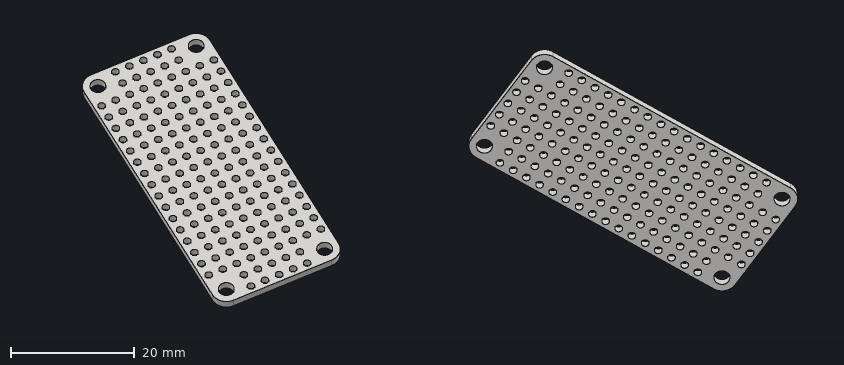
import cadquery as cq

length = 50.8
width = 22.85
thickness = 1.6
corner_radius = 2.55

mount_diameter = 2.55
mount_spacing_x = length - 2 * corner_radius
mount_spacing_y = width - 2 * corner_radius

pitch = 2.55
grid_diameter = 1.2
columns = 20
rows = 9
corner_columns = 2
corner_rows = 2


def grid_points():
    """Grid positions, skipping the block around each mounting hole."""
    points = []
    for column in range(columns):
        for row in range(rows):
            near_end = min(column, columns - 1 - column) < corner_columns
            near_side = min(row, rows - 1 - row) < corner_rows
            if near_end and near_side:
                continue
            x = (column - (columns - 1) / 2) * pitch
            y = (row - (rows - 1) / 2) * pitch
            points.append((x, y))
    return points


plate = cq.Workplane("XY").box(length, width, thickness).edges("|Z").fillet(corner_radius)

plate = (
    plate.faces(">Z")
    .workplane(origin=(0, 0, 0))
    .rarray(mount_spacing_x, mount_spacing_y, 2, 2)
    .hole(mount_diameter)
)

result = (
    plate.faces(">Z")
    .workplane(origin=(0, 0, 0))
    .pushPoints(grid_points())
    .hole(grid_diameter)
)